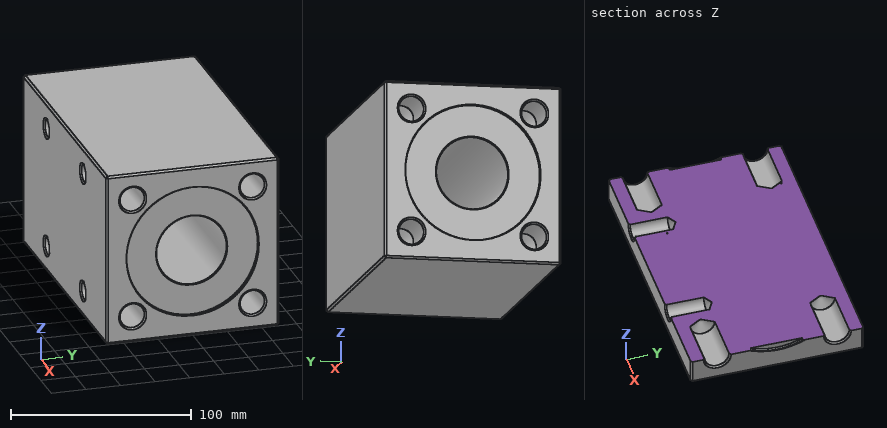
import cadquery as cq
import math

length = 160.0
side = 100.0
edge_chamfer = 1.1

bore_diameter = 40.5
bore_chamfer = 0.5
recess_diameter = 76.2
recess_depth = 2.0
recess_chamfer = 0.3

end_hole_diameter = 14.0
end_hole_mouth = 16.0
end_hole_depth = 28.8
end_hole_spacing = 69.5

side_hole_diameter = 10.2
side_hole_mouth = 12.0
side_hole_depth = 22.4
side_hole_spacing = 70.0

drill_point_angle = 118.0


def drilled_hole(diameter, mouth, depth):
    """Cutter along +Z from the origin: 45 degree mouth, straight wall, drill point."""
    radius = diameter / 2
    mouth_radius = mouth / 2
    tip = depth + radius / math.tan(math.radians(drill_point_angle / 2))
    profile = [
        (0, 0),
        (mouth_radius, 0),
        (radius, mouth_radius - radius),
        (radius, depth),
        (0, tip),
    ]
    return cq.Workplane("XZ").polyline(profile).close().revolve(360, (0, 0), (0, 1))


def bore_cutter():
    """Stepped cutter along X for the through bore, widened into a recess at both ends."""
    bore_radius = bore_diameter / 2
    recess_radius = recess_diameter / 2
    floor_x = length / 2 - recess_depth
    half_profile = [
        (length / 2, recess_radius + recess_chamfer),
        (length / 2 - recess_chamfer, recess_radius),
        (floor_x, recess_radius),
        (floor_x, bore_radius + bore_chamfer),
        (floor_x - bore_chamfer, bore_radius),
    ]
    mirrored = [(-x, radius) for x, radius in reversed(half_profile)]
    profile = [(length / 2, 0)] + half_profile + mirrored + [(-length / 2, 0)]
    return cq.Workplane("XY").polyline(profile).close().revolve(360, (0, 0), (1, 0))


result = cq.Workplane("XY").box(length, side, side).edges().chamfer(edge_chamfer)
result = result.cut(bore_cutter())

end_hole = drilled_hole(end_hole_diameter, end_hole_mouth, end_hole_depth)
for y_sign, z_sign in [(-1, -1), (-1, 1), (1, -1), (1, 1)]:
    y = y_sign * end_hole_spacing / 2
    z = z_sign * end_hole_spacing / 2
    for end_sign in (-1, 1):
        cutter = end_hole.rotate((0, 0, 0), (0, 1, 0), -90 * end_sign)
        result = result.cut(cutter.translate((end_sign * length / 2, y, z)))

side_hole = drilled_hole(side_hole_diameter, side_hole_mouth, side_hole_depth)
side_hole = side_hole.rotate((0, 0, 0), (1, 0, 0), -90)
for x_sign in (-1, 1):
    for z_sign in (-1, 1):
        x = x_sign * side_hole_spacing / 2
        z = z_sign * side_hole_spacing / 2
        result = result.cut(side_hole.translate((x, -side / 2, z)))